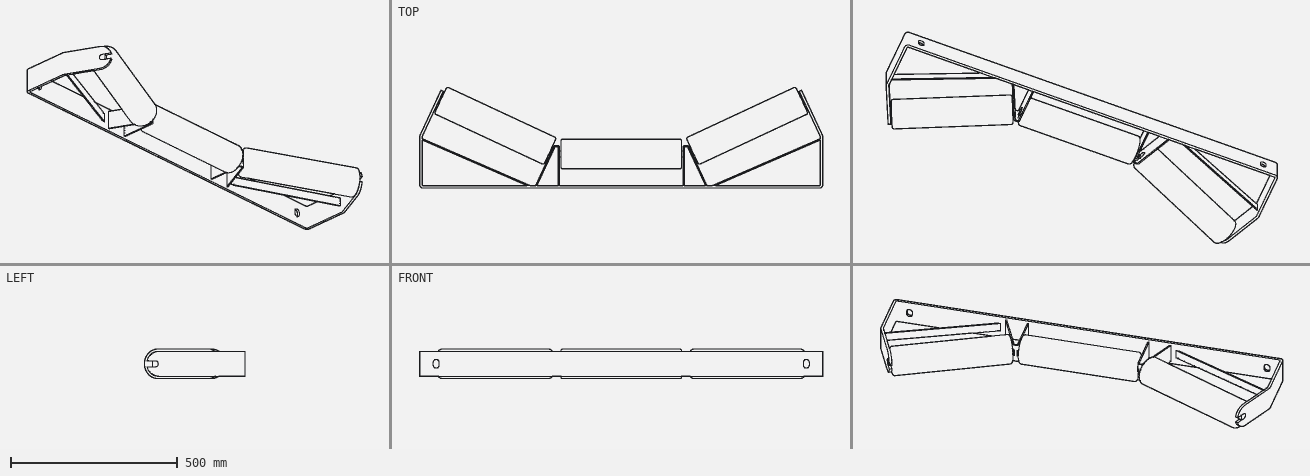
import cadquery as cq
import math


frame_length = 1210.0
strip_width = 75.0
strip_thickness = 8.0
bend_radius = 11.0
upright_height = 157.0
trough_angle = 25.0
arm_length = 152.0
mount_hole_offset = 555.0
mount_hole_width = 18.0
mount_hole_height = 25.0

roller_diameter = 90.0
roller_length = 363.0
roller_edge_radius = 6.0
roller_gap = 4.0
centre_axis_height = 103.0
arm_axis_distance = 123.0
shaft_width = 18.0
shaft_top = 10.0

bracket_thickness = 4.0
bracket_width = 58.0
bracket_height = 128.0
bracket_bend_radius = 6.0

brace_thickness = 4.0
brace_width = 27.0
brace_top = 149.0
brace_angle = 23.5

slot_reach = roller_diameter
half_length = frame_length / 2
roller_span = roller_length + 2 * roller_gap
sin_trough = math.sin(math.radians(trough_angle))
cos_trough = math.cos(math.radians(trough_angle))


def tilted_point(along_axis, along_arm):
    """Point of the left wing, measured from the outside of the arm bend."""
    x = -half_length + along_axis * cos_trough + along_arm * sin_trough
    y = upright_height - along_axis * sin_trough + along_arm * cos_trough
    return (x, y)


def tilted_at_height(along_axis, y):
    """Point at height y on the line parallel to the arm at a distance along the roller axis."""
    along_arm = (y - upright_height + along_axis * sin_trough) / cos_trough
    return tilted_point(along_axis, along_arm)


def mirrored(points):
    """Outline points of the right wing, in the reverse order."""
    return [(-x, y) for x, y in reversed(points)]


def extrude_strip(points, width):
    """Extrude a closed outline in XY by a width centred on Z = 0."""
    return cq.Workplane("XY").polyline(points).close().extrude(width / 2, both=True)


def round_bends(body, points, radius):
    """Round the edges along Z that pass through the given outline points."""
    for x, y in points:
        body = body.edges(cq.selectors.NearestToPointSelector((x, y, 0))).fillet(radius)
    return body


def axis_plane(origin, tilt):
    """Plane whose normal is a roller axis and whose local Y runs up the arm."""
    angle = math.radians(tilt)
    return cq.Plane(
        origin=(*origin, 0),
        xDir=(0, 0, -1),
        normal=(math.cos(angle), -math.sin(angle), 0),
    )


def u_bar(plane, top, length):
    """Bar along a roller axis with a round bottom and a flat top."""
    radius = shaft_width / 2
    return (
        cq.Workplane(plane)
        .moveTo(-radius, top)
        .lineTo(-radius, 0)
        .threePointArc((0, -radius), (radius, 0))
        .lineTo(radius, top)
        .close()
        .extrude(length)
    )


outer_axis_start = tilted_point(0, arm_axis_distance)
outer_axis_plane = axis_plane(outer_axis_start, trough_angle)
centre_axis_start = (-roller_span / 2 - bracket_thickness, centre_axis_height)
centre_axis_plane = axis_plane(centre_axis_start, 0)
outer_shaft_length = strip_thickness + roller_span + bracket_thickness
centre_shaft_length = roller_span + 2 * bracket_thickness


def make_roller(plane, left_strip, shaft_length):
    """Drum with rounded edges on a shaft whose ends fill the slots of the strips."""
    drum = (
        cq.Workplane(plane)
        .workplane(offset=left_strip + roller_gap)
        .circle(roller_diameter / 2)
        .extrude(roller_length)
        .edges("%CIRCLE")
        .fillet(roller_edge_radius)
    )
    return drum.union(u_bar(plane, shaft_top, shaft_length))


def make_frame():
    """Strip bent into a base, two uprights and two tilted arms, slotted for the outer shafts."""
    t = strip_thickness
    outer_bend = (-half_length, upright_height)
    outer_corner = (-half_length, 0)
    inner_corner = (-half_length + t, t)
    inner_bend = tilted_point(t, t * math.tan(math.radians(trough_angle) / 2))
    outer_side = [tilted_point(0, arm_length), outer_bend, outer_corner]
    inner_side = [inner_corner, inner_bend, tilted_point(t, arm_length)]
    outline = outer_side + mirrored(outer_side) + mirrored(inner_side) + inner_side
    frame = extrude_strip(outline, strip_width)

    outer_bends = [outer_bend, outer_corner]
    inner_bends = [inner_corner, inner_bend]
    frame = round_bends(frame, outer_bends + mirrored(outer_bends), bend_radius)
    frame = round_bends(frame, inner_bends + mirrored(inner_bends), bend_radius - t)

    arm_cut = arm_tip_waste().union(u_bar(outer_axis_plane, slot_reach, t))
    frame = frame.cut(arm_cut).cut(arm_cut.mirror("YZ"))

    mount_holes = (
        cq.Workplane("XZ")
        .pushPoints([(-mount_hole_offset, 0), (mount_hole_offset, 0)])
        .slot2D(mount_hole_height, mount_hole_width, 90)
        .extrude(-t)
    )
    return frame.cut(mount_holes)


def arm_tip_waste():
    """Material outside the half-round tip of the left arm."""
    radius = strip_width / 2
    tip_plane = axis_plane(tilted_point(0, arm_length - radius), trough_angle)
    return (
        cq.Workplane(tip_plane)
        .moveTo(-radius, 0)
        .threePointArc((0, radius), (radius, 0))
        .lineTo(radius, 2 * radius)
        .lineTo(-radius, 2 * radius)
        .close()
        .extrude(strip_thickness)
    )


def make_left_bracket():
    """Bent strip with a tilted leg for the outer roller and an upright leg for the centre one."""
    t = bracket_thickness
    near_face = strip_thickness + roller_span
    leg_x = -roller_span / 2
    base_y = strip_thickness
    outer_bends = [
        tilted_at_height(near_face, bracket_height),
        (leg_x, bracket_height),
    ]
    inner_bends = [
        (leg_x - t, bracket_height - t),
        tilted_at_height(near_face + t, bracket_height - t),
    ]
    outline = [
        tilted_at_height(near_face, base_y),
        *outer_bends,
        (leg_x, base_y),
        (leg_x - t, base_y),
        *inner_bends,
        tilted_at_height(near_face + t, base_y),
    ]
    bracket = extrude_strip(outline, bracket_width)
    bracket = round_bends(bracket, outer_bends, bracket_bend_radius)
    bracket = round_bends(bracket, inner_bends, bracket_bend_radius - t)

    tilted_leg_plane = axis_plane(tilted_point(near_face, arm_axis_distance), trough_angle)
    tilted_slot = u_bar(tilted_leg_plane, slot_reach, t)
    upright_slot = u_bar(centre_axis_plane, slot_reach, t)
    return bracket.cut(tilted_slot).cut(upright_slot)


def make_left_brace():
    """Flat bar from the upright down to the base."""
    slope = math.tan(math.radians(brace_angle))
    drop = brace_thickness / math.cos(math.radians(brace_angle))
    start_x = -half_length + strip_thickness
    base_y = strip_thickness
    outline = [
        (start_x, brace_top),
        (start_x + (brace_top - base_y) / slope, base_y),
        (start_x + (brace_top - drop - base_y) / slope, base_y),
        (start_x, brace_top - drop),
    ]
    return extrude_strip(outline, brace_width)


def left_and_right(body):
    """The body of the left wing and its mirror image, as separate solids."""
    return [body.val(), body.mirror("YZ").val()]


frame = make_frame()
brackets = left_and_right(make_left_bracket())
braces = left_and_right(make_left_brace())
centre_roller = make_roller(centre_axis_plane, bracket_thickness, centre_shaft_length)
outer_rollers = left_and_right(make_roller(outer_axis_plane, strip_thickness, outer_shaft_length))

result = cq.Compound.makeCompound(
    [frame.val(), *brackets, *braces, centre_roller.val(), *outer_rollers]
)